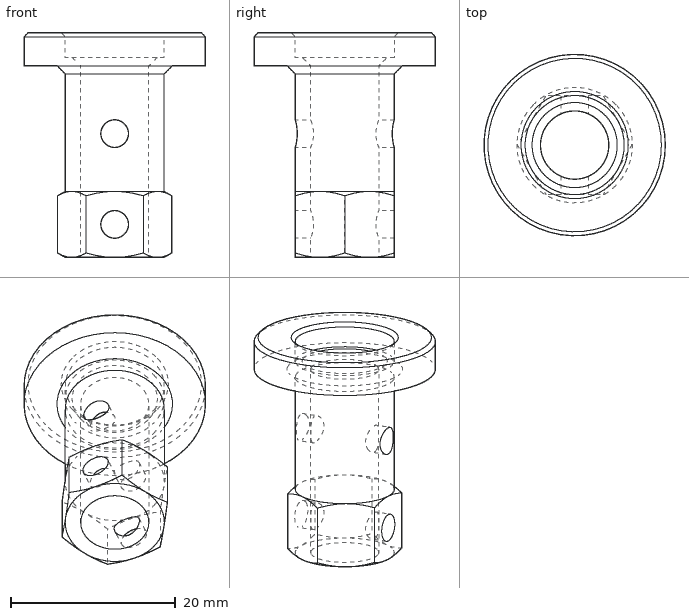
import cadquery as cq
import math

total_height = 27.25
hex_height = 8.0
flange_thickness = 4.0
neck_height = 1.0
flange_bottom = total_height - flange_thickness

flange_radius = 22.0 / 2
neck_radius = 14.0 / 2
shaft_radius = 12.0 / 2
edge_chamfer = 0.5

hex_corner_radius = shaft_radius / math.cos(math.radians(30))
hex_chamfer_angle = 30
hex_chamfer_height = (hex_corner_radius - shaft_radius) * math.tan(math.radians(hex_chamfer_angle))

bore_radius = 8.25 / 2
counterbore_radius = 12.0 / 2
counterbore_depth = 3.0
bore_chamfer = 1.04

cross_hole_diameter = 3.32
cross_hole_heights = (hex_height / 2, 15.0)


def revolve_profile(points):
    """Turn a closed (radius, z) outline about the Z axis."""
    return cq.Workplane("XZ").polyline(points).close().revolve(360, (0, 0), (0, 1))


def make_hex_foot():
    """Hexagonal prism with its corners turned off at both ends."""
    prism = cq.Workplane("XY").polygon(6, 2 * hex_corner_radius).extrude(hex_height)
    turned_envelope = revolve_profile([
        (0, 0),
        (shaft_radius, 0),
        (hex_corner_radius, hex_chamfer_height),
        (hex_corner_radius, hex_height - hex_chamfer_height),
        (shaft_radius, hex_height),
        (0, hex_height),
    ])
    return prism.intersect(turned_envelope)


def make_shaft_and_flange():
    """Round shaft, conical neck and chamfered flange."""
    return revolve_profile([
        (0, hex_height),
        (shaft_radius, hex_height),
        (shaft_radius, flange_bottom - neck_height),
        (neck_radius, flange_bottom),
        (flange_radius, flange_bottom),
        (flange_radius, total_height - edge_chamfer),
        (flange_radius - edge_chamfer, total_height),
        (0, total_height),
    ])


def make_bore():
    """Through bore with a chamfered entry and a chamfered counterbore."""
    counterbore_floor = total_height - counterbore_depth
    return revolve_profile([
        (0, 0),
        (bore_radius, 0),
        (bore_radius, counterbore_floor - bore_chamfer),
        (bore_radius + bore_chamfer, counterbore_floor),
        (counterbore_radius, counterbore_floor),
        (counterbore_radius, total_height - edge_chamfer),
        (counterbore_radius + edge_chamfer, total_height),
        (0, total_height),
    ])


def make_cross_holes():
    """Cylinders along Y, one through the hexagon and one through the shaft."""
    return (
        cq.Workplane("XZ")
        .pushPoints([(0, height) for height in cross_hole_heights])
        .circle(cross_hole_diameter / 2)
        .extrude(flange_radius, both=True)
    )


body = make_hex_foot().union(make_shaft_and_flange())
result = body.cut(make_bore()).cut(make_cross_holes())